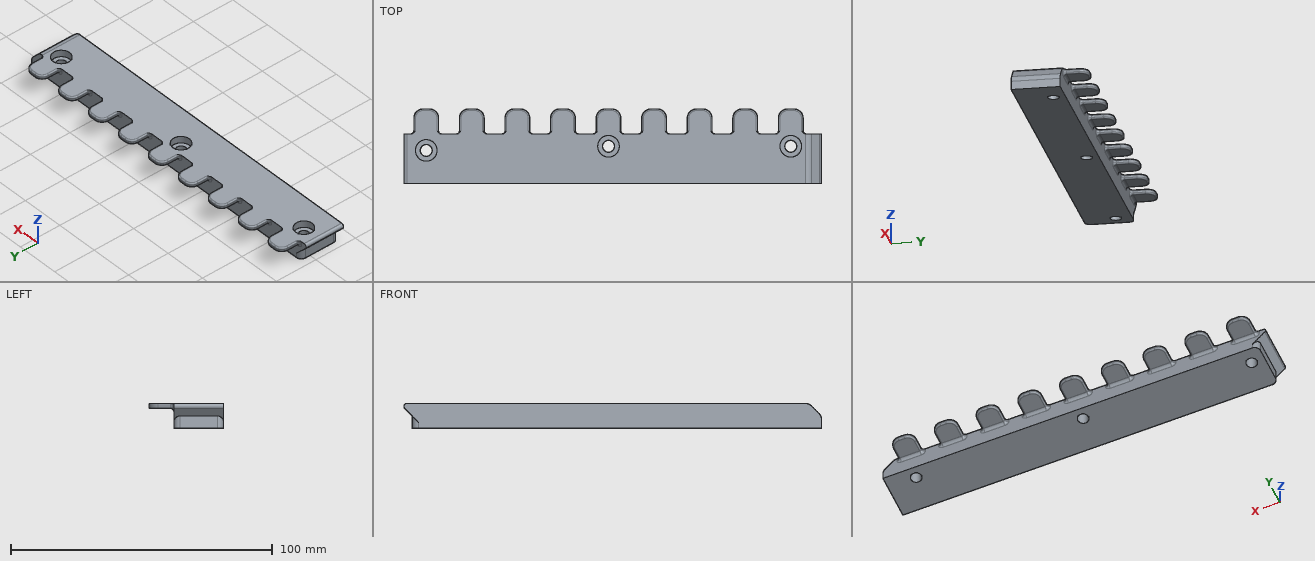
import cadquery as cq
import math

INCH = 25.4
SIN_45 = math.sqrt(0.5)

LENGTH = 159.56
BODY_DEPTH = 0.75 * INCH
THICKNESS = 0.375 * INCH

NOSE_RADIUS = 3 / 64 * INCH
NOSE_END_X = NOSE_RADIUS * (1 - SIN_45)
NOSE_END_Z = THICKNESS - NOSE_RADIUS * (1 + SIN_45)
BLOCK_INSET = 0.125 * INCH
BLOCK_CORNER_RADIUS = 3 / 32 * INCH

BEVEL = 4.9
BEVEL_ROUND = 0.125 * INCH

TOOTH_COUNT = 9
TOOTH_PITCH = 17.4
FIRST_TOOTH_X = 8.56
TOOTH_WIDTH = 0.375 * INCH
TOOTH_LENGTH = 0.375 * INCH
TOTAL_DEPTH = BODY_DEPTH + TOOTH_LENGTH
TOOTH_THICKNESS = 5 / 64 * INCH
TOOTH_TIP_RADIUS = 9 / 64 * INCH
TOOTH_ROOT_RADIUS = 3 / 64 * INCH
TOOTH_EDGE_RADIUS = 0.025 * INCH

HOLE_DIAMETER = 4.45
COUNTERBORE_DIAMETER = 8.26
COUNTERBORE_DEPTH = 0.125 * INCH
FIRST_HOLE_Y = 0.5 * INCH
HOLE_Y = 9 / 16 * INCH
MIDDLE_TOOTH = TOOTH_COUNT // 2
LAST_TOOTH = TOOTH_COUNT - 1
HOLES = [(0, FIRST_HOLE_Y), (MIDDLE_TOOTH, HOLE_Y), (LAST_TOOTH, HOLE_Y)]

MARGIN = 0.01
OVERLAP = 1.0


def tooth_x(index):
    """X of the centre line of a tooth."""
    return FIRST_TOOTH_X + index * TOOTH_PITCH


def make_end_envelope():
    """Side profile of the part, across its full depth: nose and undercut left, bevel right."""
    bevel_start_x = LENGTH - BEVEL
    bevel_end_z = THICKNESS - BEVEL
    half_turn = math.radians(45) / 2
    tangent = BEVEL_ROUND * math.tan(half_turn)
    diagonal = tangent * SIN_45
    mid_inset = BEVEL_ROUND * (1 - math.cos(half_turn))
    mid_advance = BEVEL_ROUND * math.sin(half_turn)
    lower_arc_middle = (LENGTH - mid_inset, bevel_end_z - tangent + mid_advance)
    lower_arc_end = (LENGTH - diagonal, bevel_end_z + diagonal)
    upper_arc_middle = (bevel_start_x - tangent + mid_advance, THICKNESS - mid_inset)
    upper_arc_end = (bevel_start_x - tangent, THICKNESS)
    profile = (
        cq.Workplane("XZ")
        .moveTo(NOSE_RADIUS, THICKNESS)
        .threePointArc((0, THICKNESS - NOSE_RADIUS), (NOSE_END_X, NOSE_END_Z))
        .lineTo(NOSE_END_X + NOSE_END_Z, 0)
        .lineTo(LENGTH, 0)
        .lineTo(LENGTH, bevel_end_z - tangent)
        .threePointArc(lower_arc_middle, lower_arc_end)
        .lineTo(bevel_start_x + diagonal, THICKNESS - diagonal)
        .threePointArc(upper_arc_middle, upper_arc_end)
        .close()
    )
    return profile.extrude(-TOTAL_DEPTH)


def make_base_block():
    """Block under the undercut, with its two left vertical corners rounded."""
    height = NOSE_END_Z - (BLOCK_INSET - NOSE_END_X)
    length = LENGTH / 2 - BLOCK_INSET
    return (
        cq.Workplane("XY")
        .box(length, BODY_DEPTH, height, centered=False)
        .translate((BLOCK_INSET, 0, 0))
        .edges("|Z and <X")
        .fillet(BLOCK_CORNER_RADIUS)
    )


def make_tooth():
    """Tooth centred on X = 0 with rounded tip corners and rounded upper and lower edges."""
    return (
        cq.Workplane("XY", origin=(-TOOTH_WIDTH / 2, BODY_DEPTH - OVERLAP, THICKNESS - TOOTH_THICKNESS))
        .rect(TOOTH_WIDTH, TOOTH_LENGTH + OVERLAP, centered=False)
        .extrude(TOOTH_THICKNESS)
        .edges("|Z and >Y")
        .fillet(TOOTH_TIP_RADIUS)
        .faces(">Z or <Z")
        .edges("not <Y")
        .fillet(TOOTH_EDGE_RADIUS)
    )


def make_comb_segment():
    """One pitch of the square-ended bar with its tooth, filleted around the tooth root."""
    segment = (
        cq.Workplane("XY")
        .box(TOOTH_PITCH, BODY_DEPTH, THICKNESS, centered=False)
        .translate((-TOOTH_PITCH / 2, 0, 0))
        .union(make_tooth())
    )
    root_edges = cq.selectors.BoxSelector(
        (-TOOTH_WIDTH / 2 - MARGIN, BODY_DEPTH - MARGIN, THICKNESS - TOOTH_THICKNESS - MARGIN),
        (TOOTH_WIDTH / 2 + MARGIN, BODY_DEPTH + MARGIN, THICKNESS - MARGIN),
    )
    return segment.edges(root_edges).fillet(TOOTH_ROOT_RADIUS)


def make_comb():
    """Square-ended bar with all its teeth."""
    comb = cq.Workplane("XY").box(LENGTH, BODY_DEPTH, THICKNESS, centered=False)
    segment = make_comb_segment()
    for index in range(TOOTH_COUNT):
        comb = comb.union(segment.translate((tooth_x(index), 0, 0)))
    return comb


def make_hole(x, y):
    """Through hole with a counterbore from the top face."""
    top = cq.Workplane("XY", origin=(x, y, THICKNESS))
    bore = top.circle(HOLE_DIAMETER / 2).extrude(-THICKNESS)
    counterbore = top.circle(COUNTERBORE_DIAMETER / 2).extrude(-COUNTERBORE_DEPTH)
    return bore.union(counterbore)


result = make_comb().intersect(make_end_envelope()).union(make_base_block())
for index, hole_y in HOLES:
    result = result.cut(make_hole(tooth_x(index), hole_y))